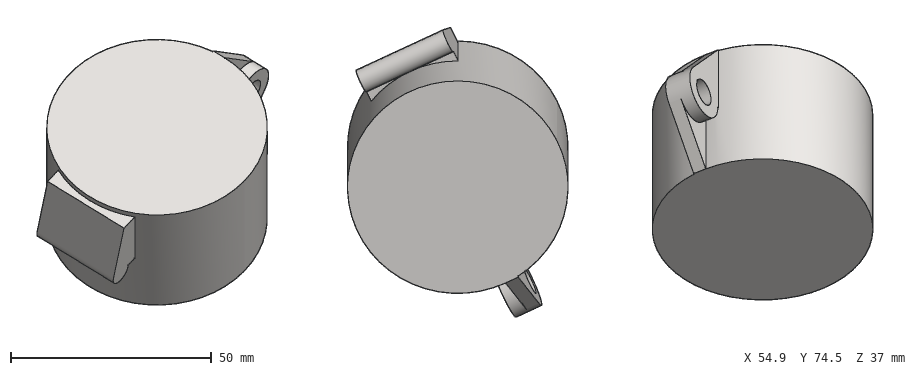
import cadquery as cq
import math

body_diameter = 54.9
body_radius = body_diameter / 2
body_height = 37.0
mid_height = body_height / 2

eye_radius = 6.8
eye_hole_diameter = 6.9
lug_width = 7.0
eye_y = body_radius + eye_radius
root_overlap = 3.7

latch_width = 24.0
latch_top_drop = 1.6
latch_top_reach = 1.65
overall_length = 74.5
latch_tip_y = eye_y + eye_radius - overall_length
lip_radius = (-body_radius - latch_tip_y) / 2


def tangent_point(start, center, radius, side):
    """Point where a line from start touches a circle; side (+1 or -1) picks the tangent."""
    dy = start[0] - center[0]
    dz = start[1] - center[1]
    angle = math.atan2(dz, dy) + side * math.acos(radius / math.hypot(dy, dz))
    return center[0] + radius * math.cos(angle), center[1] + radius * math.sin(angle)


def cylinder_along_x(center, radius, width):
    return cq.Workplane("YZ").center(*center).circle(radius).extrude(width / 2, both=True)


def make_web():
    """Upper brace, filling the -X half of the lug from the eye to the top of the body."""
    corner = (body_radius, body_height)
    touch = tangent_point(corner, (eye_y, mid_height), eye_radius, -1)
    root_y = body_radius - root_overlap
    outline = [
        (root_y, mid_height),
        (eye_y, mid_height),
        touch,
        corner,
        (root_y, body_height),
    ]
    return cq.Workplane("YZ").polyline(outline).close().extrude(-lug_width / 2)


def make_lug():
    eye = cylinder_along_x((eye_y, mid_height), eye_radius, lug_width)
    upper_web = make_web()
    lower_web = upper_web.rotate((0, 0, mid_height), (0, 1, mid_height), 180)
    hole = cylinder_along_x((eye_y, mid_height), eye_hole_diameter / 2, 2 * lug_width)
    return eye.union(upper_web).union(lower_web).cut(hole)


def make_latch():
    lip_center = (-body_radius - lip_radius, mid_height)
    top_z = body_height - latch_top_drop
    top_edge = (-body_radius - latch_top_reach, top_z)
    touch = tangent_point(top_edge, lip_center, lip_radius, 1)
    profile = (
        cq.Workplane("YZ")
        .moveTo(0, mid_height)
        .lineTo(0, top_z)
        .lineTo(*top_edge)
        .lineTo(*touch)
        .threePointArc((lip_center[0], mid_height - lip_radius), (-body_radius, mid_height))
        .close()
    )
    return profile.extrude(latch_width / 2, both=True)


body = cq.Workplane("XY").circle(body_radius).extrude(body_height)
result = body.union(make_lug()).union(make_latch())